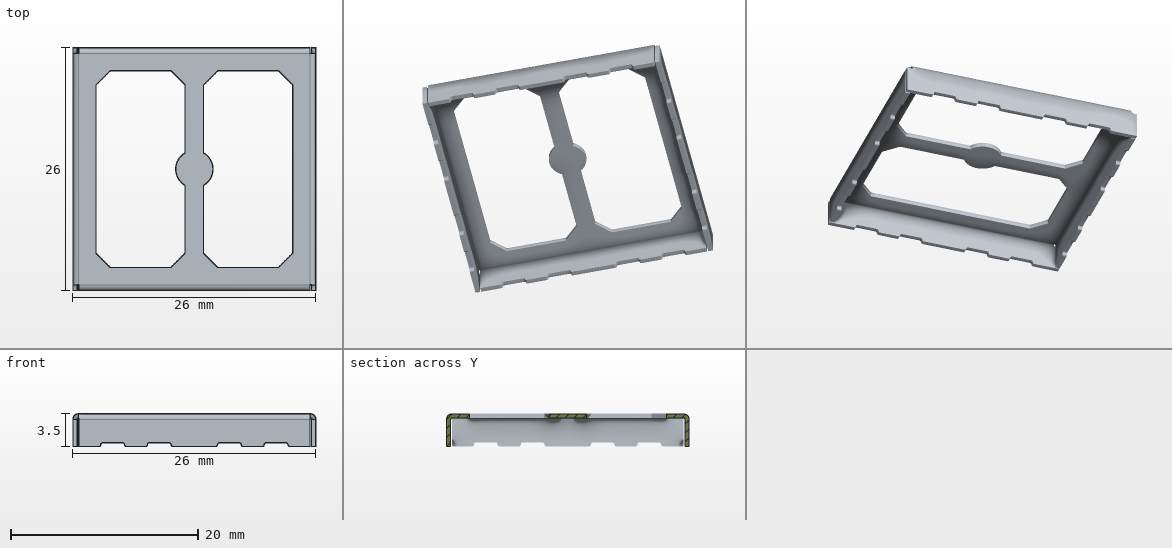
import cadquery as cq
import math

side = 26.0
height = 3.5
thickness = 0.5
bend_radius = 0.62
inner_radius = bend_radius - thickness
half_side = side / 2
plate_side = side - 2 * bend_radius
bend_bottom = height - bend_radius

rim_width = 2.5
bar_width = 2.0
hub_diameter = 4.0
window_chamfer = 1.5
window_length = side - 2 * rim_width
window_width = (window_length - bar_width) / 2
window_offset = (window_width + bar_width) / 2

notch_width = 2.52
notch_depth = 0.4
notch_radius = notch_depth / 2
inner_notch_offset = 3.75
outer_notch_offset = 8.74


def make_plate():
    """Top plate with its two windows and the round hub."""
    plate = cq.Workplane("XY").box(plate_side, plate_side, thickness, centered=(True, True, False))
    windows = (
        cq.Workplane("XY")
        .pushPoints([(-window_offset, 0), (window_offset, 0)])
        .box(window_width, window_length, thickness, centered=(True, True, False))
        .edges("|Z")
        .chamfer(window_chamfer)
    )
    hub = cq.Workplane("XY").circle(hub_diameter / 2).extrude(thickness)
    return plate.cut(windows).union(hub).translate((0, 0, height - thickness))


def make_notch():
    """Cutter for one notch in the +X wall, with rounded inner and outer corners."""
    edge = notch_width / 2
    return (
        cq.Workplane("YZ", origin=(half_side - thickness, 0, 0))
        .moveTo(-edge - notch_radius, 0)
        .radiusArc((-edge, notch_radius), -notch_radius)
        .radiusArc((notch_radius - edge, notch_depth), notch_radius)
        .lineTo(edge - notch_radius, notch_depth)
        .radiusArc((edge, notch_radius), notch_radius)
        .radiusArc((edge + notch_radius, 0), -notch_radius)
        .close()
        .extrude(thickness)
    )


def make_flange(wall_length):
    """Flange on the +X side: a quarter-round bend above a notched wall."""
    bend_start = half_side - bend_radius
    bend_middle = math.sqrt(0.5)
    bend = (
        cq.Workplane("XZ")
        .moveTo(bend_start, height)
        .threePointArc(
            (bend_start + bend_radius * bend_middle, bend_bottom + bend_radius * bend_middle),
            (half_side, bend_bottom),
        )
        .lineTo(half_side - thickness, bend_bottom)
        .threePointArc(
            (bend_start + inner_radius * bend_middle, bend_bottom + inner_radius * bend_middle),
            (bend_start, bend_bottom + inner_radius),
        )
        .close()
        .extrude(plate_side / 2, both=True)
    )
    wall = (
        cq.Workplane("XY")
        .center(half_side - thickness / 2, 0)
        .box(thickness, wall_length, bend_bottom, centered=(True, True, False))
    )
    notch = make_notch()
    for offset in (inner_notch_offset, outer_notch_offset):
        wall = wall.cut(notch.translate((0, offset, 0)))
        wall = wall.cut(notch.translate((0, -offset, 0)))
    return bend.union(wall)


result = make_plate()
for wall_length, angles in ((side, (0, 180)), (plate_side, (90, 270))):
    flange = make_flange(wall_length)
    for angle in angles:
        result = result.union(flange.rotate((0, 0, 0), (0, 0, 1), angle))